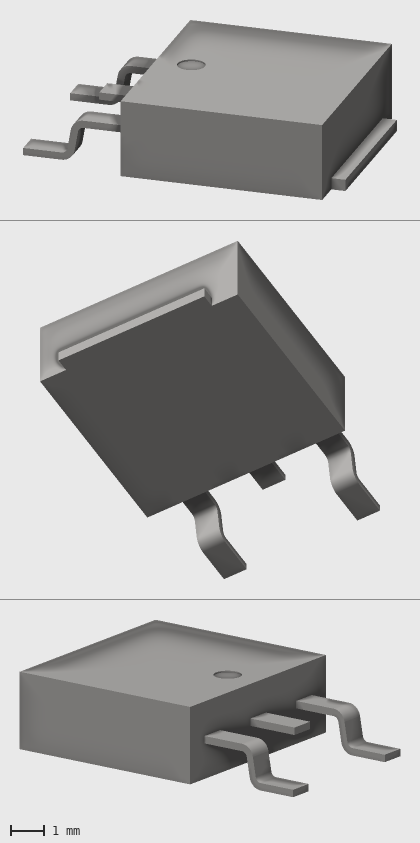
import cadquery as cq
import math

TOTAL_LENGTH = 9.9

HOUSING_START = 3.24
HOUSING_END = 9.46
HOUSING_LENGTH = HOUSING_END - HOUSING_START
HOUSING_WIDTH = 6.75
HOUSING_HEIGHT = 2.38

MARK_DIAMETER = 0.84
MARK_DEPTH = 0.05
MARK_X = 4.35

TAB_LENGTH = TOTAL_LENGTH - HOUSING_END
TAB_WIDTH = 4.98
TAB_THICKNESS = 0.36

LEAD_PITCH = 2.28
LEAD_WIDTH = 0.77
LEAD_THICKNESS = 0.23
LEAD_TOP = 1.32
LEAD_BOTTOM = LEAD_TOP - LEAD_THICKNESS
CENTRE_LEAD_START = 1.62
FOOT_LENGTH = 1.19

INNER_RADIUS = 0.18
OUTER_RADIUS = INNER_RADIUS + LEAD_THICKNESS
LEG_LEAN = math.radians(10)


def make_block(x_start, length, width, z_bottom, height):
    """Box centred in Y, running from x_start along +X and from z_bottom upward."""
    return cq.Workplane("XY").box(length, width, height, centered=(False, True, False)).translate(
        (x_start, 0, z_bottom)
    )


def make_housing():
    block = make_block(HOUSING_START, HOUSING_LENGTH, HOUSING_WIDTH, 0, HOUSING_HEIGHT)
    mark = (
        cq.Workplane("XY", origin=(MARK_X, 0, HOUSING_HEIGHT - MARK_DEPTH))
        .circle(MARK_DIAMETER / 2)
        .extrude(MARK_DEPTH)
    )
    return block.cut(mark)


def make_heat_tab():
    return make_block(HOUSING_END, TAB_LENGTH, TAB_WIDTH, 0, TAB_THICKNESS)


def make_centre_lead():
    length = HOUSING_START - CENTRE_LEAD_START
    return make_block(CENTRE_LEAD_START, length, LEAD_WIDTH, LEAD_BOTTOM, LEAD_THICKNESS)


def polar_point(centre, radius, angle):
    return (centre[0] + radius * math.cos(angle), centre[1] + radius * math.sin(angle))


def make_outer_lead(y_centre):
    """Gull-wing lead: flat foot, two bends joined by a leaning leg, and a flat arm."""
    both_radii = INNER_RADIUS + OUTER_RADIUS
    leg_rise = LEAD_TOP - LEAD_THICKNESS - both_radii * (1 - math.sin(LEG_LEAN))
    leg_run = leg_rise * math.tan(LEG_LEAN)
    arm_start = FOOT_LENGTH + both_radii * math.cos(LEG_LEAN) + leg_run

    lower_centre = (FOOT_LENGTH, OUTER_RADIUS)
    upper_centre = (arm_start, LEAD_TOP - OUTER_RADIUS)

    lower_end = -LEG_LEAN
    lower_middle = (-math.pi / 2 + lower_end) / 2
    upper_end = math.pi - LEG_LEAN
    upper_middle = (math.pi / 2 + upper_end) / 2

    profile = (
        cq.Workplane("XZ", origin=(0, y_centre, 0))
        .moveTo(0, 0)
        .lineTo(FOOT_LENGTH, 0)
        .threePointArc(
            polar_point(lower_centre, OUTER_RADIUS, lower_middle),
            polar_point(lower_centre, OUTER_RADIUS, lower_end),
        )
        .lineTo(*polar_point(upper_centre, INNER_RADIUS, upper_end))
        .threePointArc(
            polar_point(upper_centre, INNER_RADIUS, upper_middle),
            (arm_start, LEAD_BOTTOM),
        )
        .lineTo(HOUSING_START, LEAD_BOTTOM)
        .lineTo(HOUSING_START, LEAD_TOP)
        .lineTo(arm_start, LEAD_TOP)
        .threePointArc(
            polar_point(upper_centre, OUTER_RADIUS, upper_middle),
            polar_point(upper_centre, OUTER_RADIUS, upper_end),
        )
        .lineTo(*polar_point(lower_centre, INNER_RADIUS, lower_end))
        .threePointArc(
            polar_point(lower_centre, INNER_RADIUS, lower_middle),
            (FOOT_LENGTH, LEAD_THICKNESS),
        )
        .lineTo(0, LEAD_THICKNESS)
        .close()
    )
    return profile.extrude(LEAD_WIDTH / 2, both=True)


housing = make_housing()
heat_tab = make_heat_tab()
centre_lead = make_centre_lead()

outer_leads = []
for side in (-1, 1):
    outer_leads.append(make_outer_lead(side * LEAD_PITCH).val())

result = cq.Compound.makeCompound([housing.val(), heat_tab.val(), centre_lead.val(), *outer_leads])